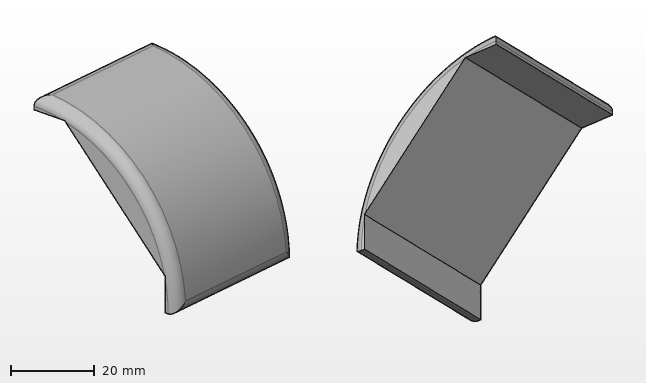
import cadquery as cq
import math

overall_size = 44.9
length = 43.0
edge_radius = 3.0
ledge_height = 41.05
ledge_width = 9.6

outer_radius = edge_radius + math.hypot(edge_radius, overall_size - edge_radius)


def quarter_cylinder():
    """Solid quarter cylinder, centred along Y."""
    mid = outer_radius * math.sqrt(0.5)
    return (
        cq.Workplane("XZ")
        .lineTo(0, outer_radius)
        .threePointArc((mid, mid), (outer_radius, 0))
        .close()
        .extrude(length / 2, both=True)
    )


def inner_clearance():
    """Square block with a cut-off corner, which leaves the ledges and slope."""
    return (
        cq.Workplane("XZ")
        .lineTo(0, ledge_height)
        .lineTo(ledge_width, ledge_height)
        .lineTo(ledge_height, ledge_width)
        .lineTo(ledge_height, 0)
        .close()
        .extrude(length / 2, both=True)
    )


rounded = quarter_cylinder().faces("%CYLINDER").edges().fillet(edge_radius)
result = rounded.cut(inner_clearance())